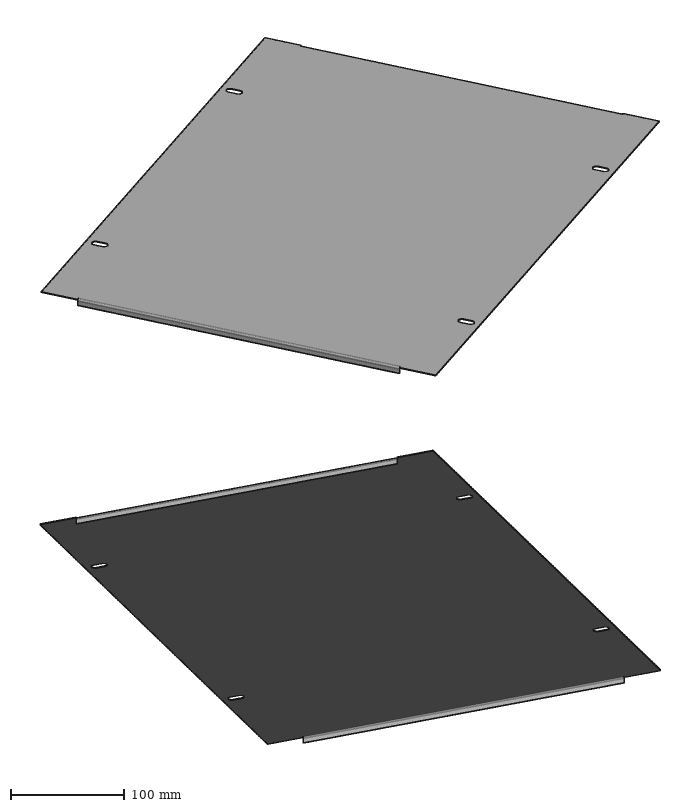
import cadquery as cq

plate_width = 380.0
plate_length = 499.0
thickness = 1.0

flange_length = 310.0
flange_height = 6.5
inner_bend_radius = 1.0
outer_bend_radius = inner_bend_radius + thickness

slot_length = 15.0
slot_width = 6.8
slot_edge_distance = 13.5
slot_pitch_x = plate_width - 2 * slot_edge_distance
slot_pitch_y = 300.0


def make_plate():
    """Flat sheet with its top face at Z = 0."""
    return (
        cq.Workplane("XY")
        .rect(plate_width, plate_length)
        .extrude(-thickness)
    )


def make_bend_clearance():
    """Edge strips of sheet that make room for the bends of the flanges."""
    return (
        cq.Workplane("XY")
        .pushPoints([(0, plate_length / 2), (0, -plate_length / 2)])
        .rect(flange_length, 2 * outer_bend_radius)
        .extrude(-thickness)
    )


def make_flange():
    """Flange on the +Y edge: a quarter bend followed by a vertical leg."""
    outer_y = plate_length / 2
    inner_y = outer_y - thickness
    bend_y = outer_y - outer_bend_radius
    bend_z = -outer_bend_radius
    return (
        cq.Workplane("YZ")
        .moveTo(bend_y, 0)
        .radiusArc((outer_y, bend_z), outer_bend_radius)
        .lineTo(outer_y, -flange_height)
        .lineTo(inner_y, -flange_height)
        .lineTo(inner_y, bend_z)
        .radiusArc((bend_y, -thickness), -inner_bend_radius)
        .close()
        .extrude(flange_length / 2, both=True)
    )


def make_slots():
    """Four round-ended slots, long axis along X, through the sheet."""
    return (
        cq.Workplane("XY")
        .rarray(slot_pitch_x, slot_pitch_y, 2, 2)
        .slot2D(slot_length, slot_width)
        .extrude(-thickness)
    )


flange = make_flange()
result = (
    make_plate()
    .cut(make_bend_clearance())
    .union(flange)
    .union(flange.mirror("XZ"))
    .cut(make_slots())
)